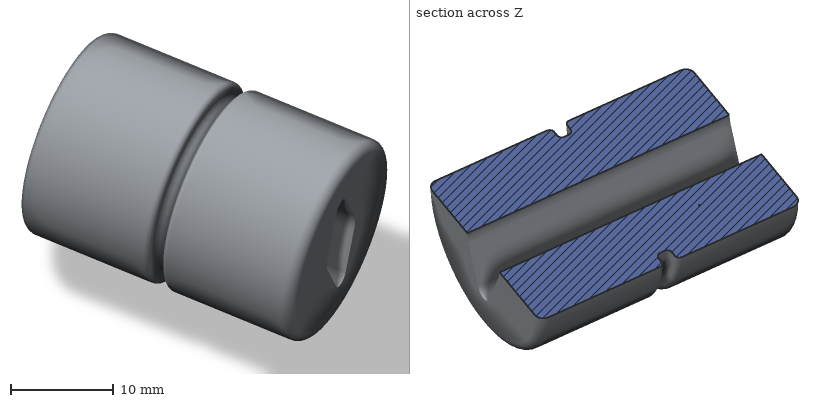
import cadquery as cq

length = 30.0
outer_diameter = 21.2
outer_radius = outer_diameter / 2
end_fillet = 1.0

groove_width = 1.5
groove_depth = 1.6
groove_floor_radius = outer_radius - groove_depth
groove_fillet = 0.5

diamond_width = 6.42
diamond_height = 16.92
diamond_tip_fillet = 1.05
diamond_side_fillet = 3.0


def make_grooved_body():
    """Solid cylinder with rounded ends and a rounded groove at mid length."""
    cylinder = (
        cq.Workplane("YZ", origin=(-length / 2, 0, 0))
        .circle(outer_radius)
        .extrude(length)
        .edges()
        .fillet(end_fillet)
    )
    groove_ring = (
        cq.Workplane("YZ", origin=(-groove_width / 2, 0, 0))
        .circle(outer_diameter)
        .circle(groove_floor_radius)
        .extrude(groove_width)
    )
    near_groove = cq.selectors.BoxSelector(
        (-groove_width, -outer_diameter, -outer_diameter),
        (groove_width, outer_diameter, outer_diameter),
        boundingbox=True,
    )
    return cylinder.cut(groove_ring).edges(near_groove).fillet(groove_fillet)


def make_diamond_opening():
    """Prism with a rounded diamond section, as long as the body."""
    half_width = diamond_width / 2
    half_height = diamond_height / 2
    corners = [(half_width, 0), (0, half_height), (-half_width, 0), (0, -half_height)]
    prism = cq.Workplane("YZ", origin=(-length / 2, 0, 0)).polyline(corners).close().extrude(length)
    prism = prism.edges("|X").edges(">Z or <Z").fillet(diamond_tip_fillet)
    return prism.edges("|X").edges(">Y or <Y").fillet(diamond_side_fillet)


result = make_grooved_body().cut(make_diamond_opening())